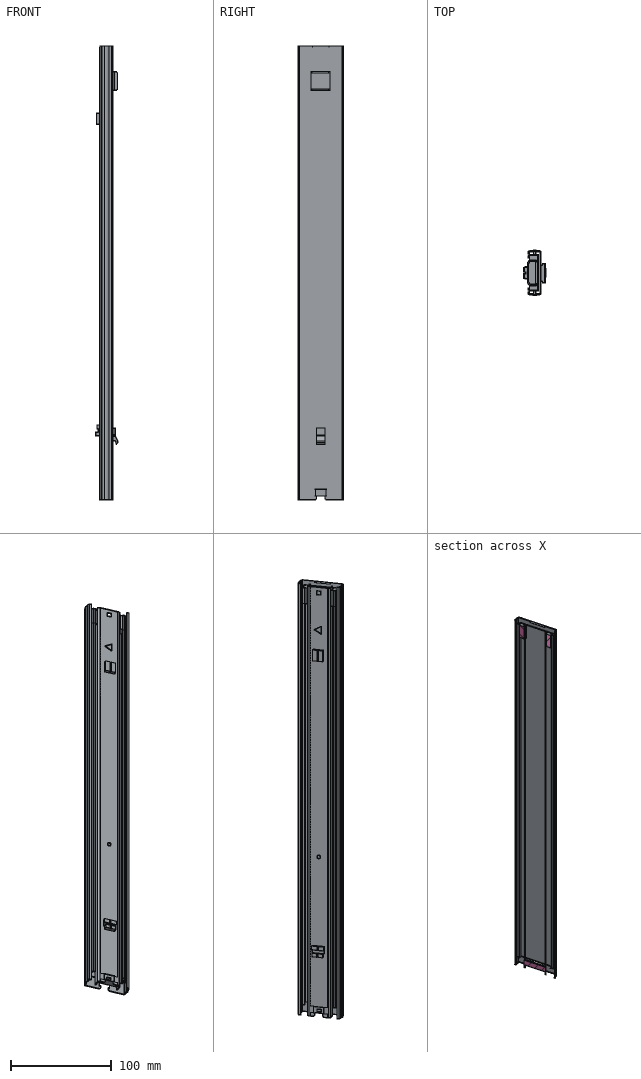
import cadquery as cq


RAIL_LENGTH = 450.0
RAIL_BOTTOM = -RAIL_LENGTH / 2
OUTER_BACK = 6.5
OUTER_FRONT = -6.8
OUTER_WEB = 1.12
OUTER_WEB_FACE = OUTER_BACK - OUTER_WEB
FLANGE_OUTSIDE = 22.0
FLANGE_THICKNESS = 1.5
FLANGE_INSIDE = FLANGE_OUTSIDE - FLANGE_THICKNESS
CORNER_X = 2.0
CORNER_Y = 1.0
OUTER_LIP_END = 19.0
RACEWAY_HALF_WIDTH = 2.02
RACEWAY_BULGE = 0.68

MIDDLE_BOTTOM = -214.0
MIDDLE_TOP = 221.0
MIDDLE_LENGTH = MIDDLE_TOP - MIDDLE_BOTTOM
MIDDLE_FRONT = -6.52
MIDDLE_BACK = 3.82
MIDDLE_HALF_HEIGHT = 18.22
MIDDLE_THICKNESS = 1.12
MIDDLE_LIP_END = 15.0
MIDDLE_CORNER = 1.5
MIDDLE_FLANGE_INSIDE = MIDDLE_HALF_HEIGHT - MIDDLE_THICKNESS
MIDDLE_WEB_FACE = MIDDLE_BACK - MIDDLE_THICKNESS

CAGE_HALF_WIDTH = 1.5
CAGE_WALL = 0.68
CAGE_BASE = 0.5
CAGE_SEAT = 0.5
CAGE_INSIDE = MIDDLE_HALF_HEIGHT - CAGE_SEAT
CAGE_OUTSIDE = 20.5

INNER_TOP = 223.0
INNER_FRONT = -7.0
INNER_THICKNESS = 1.12
INNER_WEB_BACK = INNER_FRONT + INNER_THICKNESS
INNER_WEB_HALF = 10.12
INNER_HALF_HEIGHT = 12.0
INNER_FLANGE_INSIDE = INNER_HALF_HEIGHT - INNER_THICKNESS
INNER_SHOULDER = 1.5
INNER_FLANGE_END = 1.0

GUIDE_BOTTOM = 204.5
GUIDE_FRONT = -5.5
GUIDE_INSIDE = 12.5
GUIDE_LEG_THICKNESS = 1.5
GUIDE_LEG_END = 11.0

NOTCH_HALF_WIDTH = 5.5
NOTCH_TOP = -214.5
NUB_SIZE = 1.5
NUB_TOP = -221.5
NUB_BOTTOM = -223.5

LEAD_IN_WIDTH = 16.0
LEAD_IN_DEPTH = 1.0
LEAD_IN_HEIGHT = 1.5

STOP_WIDTH = 2 * INNER_FLANGE_INSIDE
STOP_DEPTH = 7.0
STOP_BOTTOM = -221.5
STOP_POCKET_WIDTH = 4.5
STOP_POCKET_DEPTH = 1.5
STOP_POCKET_TOP = -217.5
STOP_POCKET_BOTTOM = -220.0

SQUARE_HOLE = 4.0
SQUARE_HOLE_Z = 217.5
ROUND_HOLE_DIAMETER = 3.5
ROUND_HOLE_Z = -58.0
ARROW_BASE_Y = -2.5
ARROW_TIP_Y = 4.5
ARROW_HALF_HEIGHT = 4.0
ARROW_Z = 178.5

PEG_WIDTH = 11.0
PEG_FRONT = -10.5
PEG_TOP = 158.5
PEG_BOTTOM = 147.0
HOOK_WIDTH = 12.5
HOOK_FRONT = -10.0
HOOK_TOP = -150.8
HOOK_NECK_TOP = -155.0
HOOK_NECK_BOTTOM = -158.0
HOOK_NECK_FRONT = -8.5
HOOK_TIP_WIDTH = 11.0
HOOK_TIP_FRONT = -11.02
HOOK_BOTTOM = -161.5
SLOT_WIDTH = 1.5
SLOT_DEPTH = 1.5

BLOCK_BACK = 11.0
BLOCK_Y_MIN = -10.0
BLOCK_Y_MAX = 9.0
BLOCK_BOTTOM = 181.0
BLOCK_TOP = 199.5
BLOCK_CHAMFER = 1.5
BLOCK_BASE = 1.5
BLOCK_RECESS = 1.5
TAB_HALF_WIDTH = 4.0
TAB_BACK = 8.5
TAB_TOP = -154.0
TAB_BOTTOM = -160.5
CLAW_TOP = -162.0
CLAW_STEP = -166.5
CLAW_TIP_TOP = -168.5
CLAW_BOTTOM = -170.0
CLAW_TIP_FRONT = 9.5
CLAW_BACK = 11.02


def box(x_min, x_max, y_min, y_max, z_min, z_max):
    """Axis-aligned box between two corners."""
    size = (x_max - x_min, y_max - y_min, z_max - z_min)
    return cq.Workplane("XY").box(*size, centered=False).translate((x_min, y_min, z_min))


def centered_box(x_min, x_max, width, z_min, z_max):
    """Box of the given Y width, centered on Y = 0."""
    return box(x_min, x_max, -width / 2, width / 2, z_min, z_max)


def mirrored(half):
    """Join a half that lies on +Y with its mirror image."""
    return half.union(half.mirror("XZ"))


def bottom_notch(web_front, web_thickness):
    """Cutter for the notch in a web, narrowed near the bottom end by two nubs."""
    nub_half = NOTCH_HALF_WIDTH - NUB_SIZE
    half = (
        cq.Workplane("YZ", origin=(web_front, 0, 0))
        .moveTo(0, RAIL_BOTTOM)
        .lineTo(NOTCH_HALF_WIDTH, RAIL_BOTTOM)
        .lineTo(nub_half, NUB_BOTTOM)
        .lineTo(nub_half, NUB_TOP)
        .lineTo(NOTCH_HALF_WIDTH, NUB_TOP)
        .lineTo(NOTCH_HALF_WIDTH, NOTCH_TOP)
        .lineTo(0, NOTCH_TOP)
        .close()
        .extrude(web_thickness)
    )
    return mirrored(half)


def outer_channel():
    lip_inside = OUTER_FRONT + FLANGE_THICKNESS
    half = (
        cq.Workplane("XY")
        .workplane(offset=RAIL_BOTTOM)
        .moveTo(OUTER_BACK, 0)
        .lineTo(OUTER_BACK, FLANGE_OUTSIDE - CORNER_Y)
        .lineTo(OUTER_BACK - CORNER_X, FLANGE_OUTSIDE)
        .lineTo(RACEWAY_HALF_WIDTH, FLANGE_OUTSIDE)
        .threePointArc((0, FLANGE_OUTSIDE + RACEWAY_BULGE), (-RACEWAY_HALF_WIDTH, FLANGE_OUTSIDE))
        .lineTo(OUTER_FRONT + CORNER_X, FLANGE_OUTSIDE)
        .lineTo(OUTER_FRONT, FLANGE_OUTSIDE - CORNER_Y)
        .lineTo(OUTER_FRONT, OUTER_LIP_END)
        .lineTo(lip_inside, OUTER_LIP_END)
        .lineTo(lip_inside, FLANGE_INSIDE)
        .lineTo(-RACEWAY_HALF_WIDTH, FLANGE_INSIDE)
        .threePointArc((0, FLANGE_INSIDE + RACEWAY_BULGE), (RACEWAY_HALF_WIDTH, FLANGE_INSIDE))
        .lineTo(OUTER_WEB_FACE, FLANGE_INSIDE)
        .lineTo(OUTER_WEB_FACE, 0)
        .close()
        .extrude(RAIL_LENGTH)
    )
    return mirrored(half)


def mounting_block():
    """Block with beveled top and bottom edges on a slightly narrower base."""
    head_front = OUTER_BACK + BLOCK_BASE
    base_y_min = BLOCK_Y_MIN + BLOCK_RECESS
    base_y_max = BLOCK_Y_MAX - BLOCK_RECESS
    head = box(head_front, BLOCK_BACK, BLOCK_Y_MIN, BLOCK_Y_MAX, BLOCK_BOTTOM, BLOCK_TOP)
    head = head.faces(">X").edges("|Y").chamfer(BLOCK_CHAMFER)
    base = box(OUTER_BACK, head_front, base_y_min, base_y_max, BLOCK_BOTTOM, BLOCK_TOP)
    return head.union(base)


def back_tabs():
    """Flat tab and the hooked claw below it."""
    tab = centered_box(OUTER_BACK, TAB_BACK, 2 * TAB_HALF_WIDTH, TAB_BOTTOM, TAB_TOP)
    claw = (
        cq.Workplane("XZ", origin=(0, TAB_HALF_WIDTH, 0))
        .moveTo(OUTER_BACK, CLAW_TOP)
        .lineTo(TAB_BACK, CLAW_TOP)
        .lineTo(CLAW_BACK, CLAW_STEP)
        .lineTo(CLAW_BACK, CLAW_TIP_TOP)
        .lineTo(CLAW_TIP_FRONT, CLAW_BOTTOM)
        .lineTo(TAB_BACK, CLAW_STEP)
        .lineTo(OUTER_BACK, CLAW_STEP)
        .close()
        .extrude(2 * TAB_HALF_WIDTH)
    )
    return tab, claw


def lead_in():
    """Wedge cutter that bevels the inside top edge of the outer web."""
    rail_top = RAIL_BOTTOM + RAIL_LENGTH
    return (
        cq.Workplane("XZ", origin=(0, LEAD_IN_WIDTH / 2, 0))
        .moveTo(OUTER_WEB_FACE, rail_top)
        .lineTo(OUTER_WEB_FACE + LEAD_IN_DEPTH, rail_top)
        .lineTo(OUTER_WEB_FACE, rail_top - LEAD_IN_HEIGHT)
        .close()
        .extrude(LEAD_IN_WIDTH)
    )


def make_outer_rail():
    rail = outer_channel().union(mounting_block())
    for piece in back_tabs():
        rail = rail.union(piece)
    notch = bottom_notch(OUTER_WEB_FACE, OUTER_WEB)
    return rail.cut(notch).cut(lead_in())


def make_middle_rail():
    lip_inside = MIDDLE_FRONT + MIDDLE_THICKNESS
    half = (
        cq.Workplane("XY")
        .workplane(offset=MIDDLE_BOTTOM)
        .moveTo(MIDDLE_BACK, 0)
        .lineTo(MIDDLE_BACK, MIDDLE_HALF_HEIGHT)
        .lineTo(CAGE_HALF_WIDTH, MIDDLE_HALF_HEIGHT)
        .lineTo(CAGE_HALF_WIDTH, CAGE_INSIDE)
        .lineTo(-CAGE_HALF_WIDTH, CAGE_INSIDE)
        .lineTo(-CAGE_HALF_WIDTH, MIDDLE_HALF_HEIGHT)
        .lineTo(MIDDLE_FRONT + MIDDLE_CORNER, MIDDLE_HALF_HEIGHT)
        .lineTo(MIDDLE_FRONT, MIDDLE_HALF_HEIGHT - MIDDLE_CORNER)
        .lineTo(MIDDLE_FRONT, MIDDLE_LIP_END)
        .lineTo(lip_inside, MIDDLE_LIP_END)
        .lineTo(lip_inside, MIDDLE_FLANGE_INSIDE)
        .lineTo(MIDDLE_WEB_FACE, MIDDLE_FLANGE_INSIDE)
        .lineTo(MIDDLE_WEB_FACE, 0)
        .close()
        .extrude(MIDDLE_LENGTH)
    )
    return mirrored(half)


def make_ball_cage(side):
    """U-shaped cage strip on the +Y (side = 1) or -Y (side = -1) flange."""
    cage = box(-CAGE_HALF_WIDTH, CAGE_HALF_WIDTH, CAGE_INSIDE, CAGE_OUTSIDE, MIDDLE_BOTTOM, MIDDLE_TOP)
    channel_half = CAGE_HALF_WIDTH - CAGE_WALL
    channel = box(
        -channel_half, channel_half, CAGE_INSIDE + CAGE_BASE, CAGE_OUTSIDE, MIDDLE_BOTTOM, MIDDLE_TOP
    )
    cage = cage.cut(channel)
    return cage if side > 0 else cage.mirror("XZ")


def make_end_guide(side):
    """L-shaped guide block on the +Y (side = 1) or -Y (side = -1) flange."""
    body = box(GUIDE_FRONT, MIDDLE_WEB_FACE, GUIDE_INSIDE, MIDDLE_FLANGE_INSIDE, GUIDE_BOTTOM, MIDDLE_TOP)
    leg_front = MIDDLE_WEB_FACE - GUIDE_LEG_THICKNESS
    leg = box(leg_front, MIDDLE_WEB_FACE, GUIDE_LEG_END, GUIDE_INSIDE, GUIDE_BOTTOM, MIDDLE_TOP)
    guide = body.union(leg)
    return guide if side > 0 else guide.mirror("XZ")


def inner_channel():
    shoulder_back = INNER_FRONT + INNER_SHOULDER
    half = (
        cq.Workplane("XY")
        .workplane(offset=RAIL_BOTTOM)
        .moveTo(INNER_FRONT, 0)
        .lineTo(INNER_FRONT, INNER_WEB_HALF)
        .lineTo(shoulder_back, INNER_HALF_HEIGHT)
        .lineTo(INNER_FLANGE_END, INNER_HALF_HEIGHT)
        .lineTo(INNER_FLANGE_END, INNER_FLANGE_INSIDE)
        .lineTo(shoulder_back + INNER_THICKNESS, INNER_FLANGE_INSIDE)
        .lineTo(INNER_WEB_BACK, INNER_WEB_HALF - INNER_THICKNESS)
        .lineTo(INNER_WEB_BACK, 0)
        .close()
        .extrude(INNER_TOP - RAIL_BOTTOM)
    )
    return mirrored(half)


def web_openings():
    """Cutters for the square hole, round hole, arrow window and bottom notch of the inner web."""
    half_square = SQUARE_HOLE / 2
    square = centered_box(
        INNER_FRONT, INNER_WEB_BACK, SQUARE_HOLE, SQUARE_HOLE_Z - half_square, SQUARE_HOLE_Z + half_square
    )
    web_plane = cq.Workplane("YZ", origin=(INNER_FRONT, 0, 0))
    round_hole = (
        web_plane.center(0, ROUND_HOLE_Z).circle(ROUND_HOLE_DIAMETER / 2).extrude(INNER_THICKNESS)
    )
    arrow = (
        web_plane.moveTo(ARROW_TIP_Y, ARROW_Z)
        .lineTo(ARROW_BASE_Y, ARROW_Z + ARROW_HALF_HEIGHT)
        .lineTo(ARROW_BASE_Y, ARROW_Z - ARROW_HALF_HEIGHT)
        .close()
        .extrude(INNER_THICKNESS)
    )
    notch = bottom_notch(INNER_FRONT, INNER_THICKNESS)
    return square, round_hole, arrow, notch


def stop_block():
    block = centered_box(INNER_WEB_BACK, INNER_WEB_BACK + STOP_DEPTH, STOP_WIDTH, STOP_BOTTOM, NOTCH_TOP)
    pocket_back = INNER_WEB_BACK + STOP_POCKET_DEPTH
    pocket = centered_box(INNER_WEB_BACK, pocket_back, STOP_POCKET_WIDTH, STOP_POCKET_BOTTOM, STOP_POCKET_TOP)
    return block.cut(pocket)


def front_slot(front, z_min, z_max):
    """Cutter for the vertical slot in the front of a peg or hook."""
    return centered_box(front, front + SLOT_DEPTH, SLOT_WIDTH, z_min, z_max)


def mounting_peg():
    peg = centered_box(PEG_FRONT, INNER_FRONT, PEG_WIDTH, PEG_BOTTOM, PEG_TOP)
    return peg.cut(front_slot(PEG_FRONT, PEG_BOTTOM, PEG_TOP))


def mounting_hook():
    head = centered_box(HOOK_FRONT, INNER_FRONT, HOOK_WIDTH, HOOK_NECK_TOP, HOOK_TOP)
    neck = centered_box(HOOK_NECK_FRONT, INNER_FRONT, HOOK_WIDTH, HOOK_NECK_BOTTOM, HOOK_NECK_TOP)
    tip = centered_box(HOOK_TIP_FRONT, INNER_FRONT, HOOK_TIP_WIDTH, HOOK_BOTTOM, HOOK_NECK_BOTTOM)
    hook = head.union(neck).union(tip)
    hook = hook.cut(front_slot(HOOK_FRONT, HOOK_NECK_TOP, HOOK_TOP))
    return hook.cut(front_slot(HOOK_TIP_FRONT, HOOK_BOTTOM, HOOK_NECK_BOTTOM))


def make_inner_rail():
    rail = inner_channel()
    for opening in web_openings():
        rail = rail.cut(opening)
    for feature in (stop_block(), mounting_peg(), mounting_hook()):
        rail = rail.union(feature)
    return rail


outer_rail = make_outer_rail()
middle_rail = make_middle_rail()
inner_rail = make_inner_rail()

SIDES = (1, -1)
ball_cages = [make_ball_cage(side) for side in SIDES]
end_guides = [make_end_guide(side) for side in SIDES]

result = cq.Compound.makeCompound(
    [
        outer_rail.val(),
        middle_rail.val(),
        inner_rail.val(),
        *[cage.val() for cage in ball_cages],
        *[guide.val() for guide in end_guides],
    ]
)